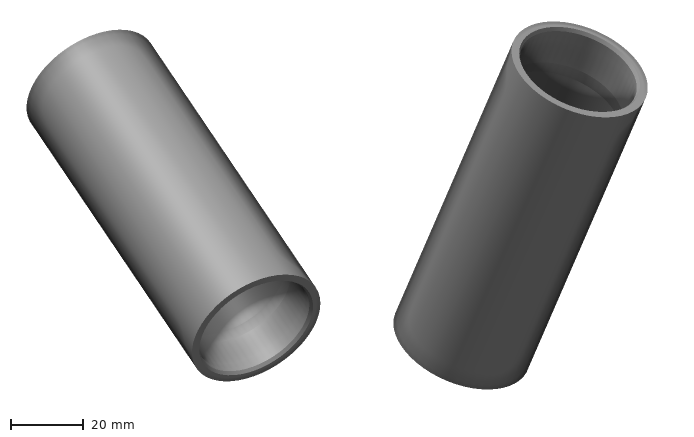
import cadquery as cq

length = 100.5
outer_radius = 19.85
land_radius = 17.0
relief_radius = 17.6
mouth_radius = 17.6

mouth_depth = 1.0
land_length = 11.6
taper_length = 3.9

half_length = length / 2
land_outer_x = half_length - mouth_depth
land_inner_x = land_outer_x - land_length
relief_x = land_inner_x - taper_length

half_bore = [
    (relief_x, relief_radius),
    (land_inner_x, land_radius),
    (land_outer_x, land_radius),
    (half_length, mouth_radius),
]
mirrored_bore = [(-x, radius) for x, radius in reversed(half_bore)]

wall_section = (
    [(-half_length, outer_radius)]
    + mirrored_bore
    + half_bore
    + [(half_length, outer_radius)]
)

result = (
    cq.Workplane("XY")
    .polyline(wall_section)
    .close()
    .revolve(360, (0, 0, 0), (1, 0, 0))
)